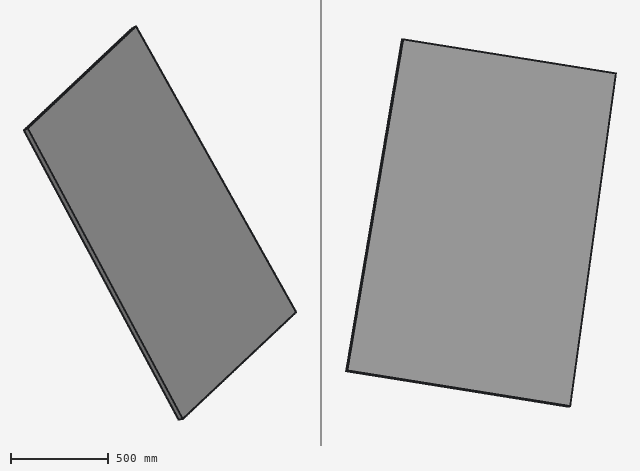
import cadquery as cq

SIZE_X = 935.0
SIZE_Y = 1181.0
SIZE_Z = 1486.0

TOP_END_RUN = 24.0
TOP_END_RISE = 20.0
BOTTOM_END_RUN = 25.0
BOTTOM_END_RISE = 12.0

FRONT_TAPER = 1.0
REAR_TAPER = 53.0

profile = [
    (0, SIZE_Z - TOP_END_RISE),
    (TOP_END_RUN, SIZE_Z),
    (SIZE_X, BOTTOM_END_RISE),
    (SIZE_X - BOTTOM_END_RUN, 0),
]
sloping_sheet = cq.Workplane("XZ").polyline(profile).close().extrude(-SIZE_Y)

plan = [
    (0, FRONT_TAPER),
    (SIZE_X, 0),
    (SIZE_X, SIZE_Y),
    (0, SIZE_Y - REAR_TAPER),
]
plan_prism = cq.Workplane("XY").polyline(plan).close().extrude(SIZE_Z)

result = sloping_sheet.intersect(plan_prism)